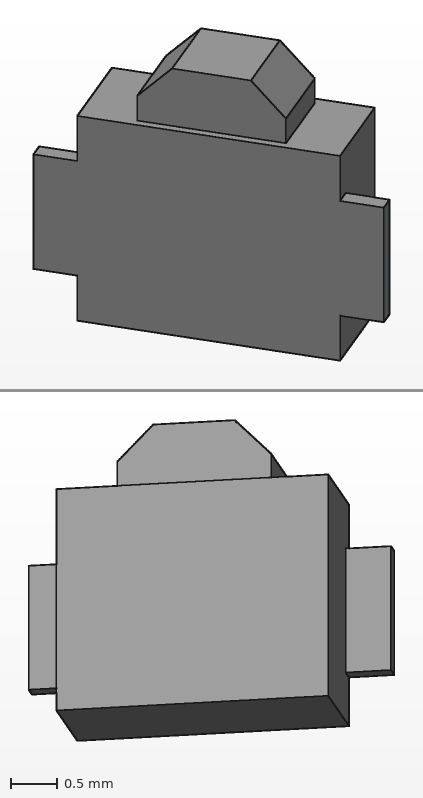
import cadquery as cq

body_width = 3.0
body_depth = 1.2
body_height = 2.5

tab_span = 4.0
tab_thickness = 0.2
tab_height = 1.4

button_width = 1.7
button_depth = 1.0
button_height = 0.7
button_chamfer = 0.4


def make_body():
    return cq.Workplane("XY").box(body_width, body_depth, body_height, centered=(True, True, False))


def make_tabs():
    """One plate through the body whose two ends form the side tabs."""
    plate = cq.Workplane("XY").box(tab_span, tab_thickness, tab_height)
    plate_y = (tab_thickness - body_depth) / 2
    return plate.translate((0, plate_y, body_height / 2))


def make_button():
    """Block with its two upper side edges chamfered."""
    block = cq.Workplane("XY").box(button_width, button_depth, button_height, centered=(True, True, False))
    button = block.faces(">Z").edges("|Y").chamfer(button_chamfer)
    return button.translate((0, 0, body_height))


result = make_body().union(make_tabs()).union(make_button())